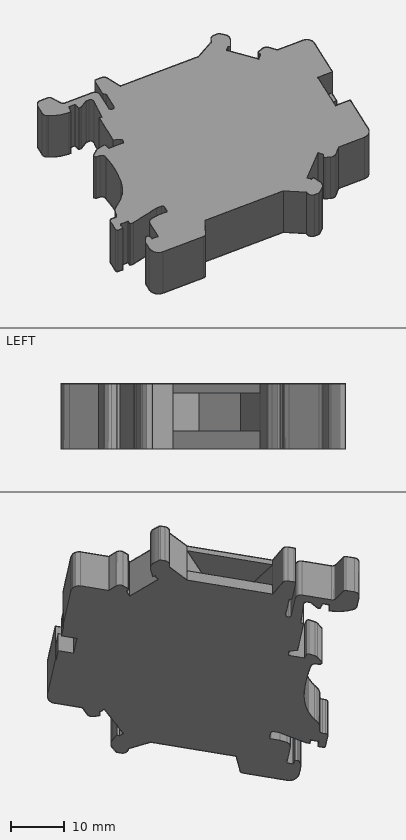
import cadquery as cq
import math

WIDTH = 42.55
HEIGHT = 52.7
THICKNESS = 12.1

HALF_WIDTH = WIDTH / 2
HEAD_HALF_WIDTH = 12.95
BODY_HALF_WIDTH = 17.9
BODY_TOP = 32.0
BODY_BOTTOM = 15.85

NOTCH_HALF_WIDTH = 3.75
NOTCH_DEPTH = 3.05
LEDGE_GAP_HALF_WIDTH = 1.65
LEDGE_TOP = THICKNESS / 2
LEDGE_SETBACK = 0.15

POCKET_FLOOR = 3.3
POCKET_CEILING = 10.45
POCKET_DEPTH = 5.7
POCKET_INNER_TOP = 27.15
POCKET_INNER_BOTTOM = 19.45

SLOT_END = 10.55
CLIP_NECK = 18.75
CLIP_TOE = 16.5
CLIP_TOP = 11.6
LATCH_STEM = 12.95

HEAD_AND_HORN = [
    (HEAD_HALF_WIDTH, HEIGHT, 1.6),
    (HEAD_HALF_WIDTH, 45.8),
    (14.75, 44.15, 1.2),
    (13.95, 42.15, 0.25),
    (13.4, 42.55),
    (12.5, 41.8),
    (17.0, 37.3),
    (17.65, 37.95),
    (17.5, 38.4),
    (19.75, 39.45, 1.35),
    (HALF_WIDTH, 37.8, 0.4),
    (HALF_WIDTH, 35.7, 1.1),
    (20.1, 35.75),
    (BODY_HALF_WIDTH, BODY_TOP),
]

FIXED_HOOK = [
    (BODY_HALF_WIDTH, BODY_BOTTOM),
    (HALF_WIDTH, 14.4, 0.75),
    (HALF_WIDTH, 3.65, 1.95),
    (17.3, 3.65, 2.0),
    (16.6, 4.45, 0.15),
    (16.7, 4.95),
    (17.55, 5.15),
    (17.55, 6.4),
    (13.35, 6.4, 1.0),
    (LATCH_STEM, 8.55),
]

LATCH_LEG = [
    (LATCH_STEM, SLOT_END, 0.3),
    (11.35, SLOT_END, 0.5),
    (11.35, 9.05),
    (12.6, 3.7),
    (12.6, 2.95),
    (11.85, 2.95),
    (11.85, 1.35),
    (LATCH_STEM, 1.35),
    (LATCH_STEM, 0, 0.35),
    (9.95, 0, 0.55),
    (9.95, 1.7, 0.6),
    (8.3, 1.8, 2.1),
]

ARCH_AND_POINT = [
    (5.55, 5.5, 7.4),
    (-0.5, 6.5, 18.95),
    (-4.55, 5.85, 0.85),
    (-4.6, 4.4, 0.25),
    (-5.0, 3.95, 0.15),
    (-6.2, 5.3, 1.05),
    (-6.55, 7.15, 0.4),
    (-5.45, 7.45),
    (-5.45, SLOT_END, 0.3),
    (-6.3, SLOT_END, 0.3),
    (-6.85, 9.0),
]

SPRING_CLIP = [
    (-12.75, 9.0),
    (-12.75, 9.55),
    (-17.45, 9.9, 0.65),
    (-17.45, 8.6, 0.2),
    (-CLIP_TOE, 7.1, 0.2),
    (-CLIP_TOE, 6.65),
    (-17.6, 6.4),
    (-17.6, 5.15),
    (-16.35, 4.9),
    (-16.4, 2.6, 8.45),
    (-17.75, 0, 1.0),
    (-HALF_WIDTH, 0, 1.05),
    (-HALF_WIDTH, 2.95, 0.55),
    (-CLIP_NECK, 4.45, 0.8),
    (-CLIP_NECK, CLIP_TOP, 1.1),
]

SPRING_SLOT_AND_SHOULDER = [
    (-13.6, CLIP_TOP, 0.5),
    (-13.6, 12.65, 0.5),
    (-17.25, 12.65, 0.2),
    (-17.65, 12.1, 0.2),
    (-HALF_WIDTH, 12.1, 0.35),
    (-HALF_WIDTH, 14.3, 1.05),
    (-BODY_HALF_WIDTH, BODY_BOTTOM),
]


def mirrored(corners):
    """Corners mirrored to the -X side, in the order that keeps going round the outline."""
    return [(-corner[0], *corner[1:]) for corner in reversed(corners)]


def rounded_prism(corners, height):
    """Extrude a closed outline, with an arc tangent to both sides at each rounded corner."""
    path = cq.Workplane("XY")
    for i, corner in enumerate(corners):
        point = cq.Vector(*corner[:2])
        if len(corner) == 2:
            path = path.moveTo(point.x, point.y) if i == 0 else path.lineTo(point.x, point.y)
            continue
        radius = corner[2]
        to_previous = (cq.Vector(*corners[i - 1][:2]) - point).normalized()
        to_next = (cq.Vector(*corners[(i + 1) % len(corners)][:2]) - point).normalized()
        half_angle = to_previous.getAngle(to_next) / 2
        tangent_length = radius / math.tan(half_angle)
        arc_distance = radius / math.sin(half_angle) - radius
        start = point + to_previous * tangent_length
        middle = point + (to_previous + to_next).normalized() * arc_distance
        end = point + to_next * tangent_length
        path = path.moveTo(start.x, start.y) if i == 0 else path.lineTo(start.x, start.y)
        path = path.threePointArc((middle.x, middle.y), (end.x, end.y))
    return path.close().extrude(height)


def housing():
    outline = (
        HEAD_AND_HORN
        + FIXED_HOOK
        + LATCH_LEG
        + ARCH_AND_POINT
        + SPRING_CLIP
        + SPRING_SLOT_AND_SHOULDER
        + mirrored(HEAD_AND_HORN)
    )
    return rounded_prism(outline, THICKNESS)


def marker_notch():
    """Material to remove from the head, leaving the two ledges."""
    notch_bottom = HEIGHT - NOTCH_DEPTH
    notch = cq.Workplane("XY").box(
        2 * NOTCH_HALF_WIDTH, NOTCH_DEPTH, THICKNESS, centered=(True, False, False)
    )
    ledge_width = NOTCH_HALF_WIDTH - LEDGE_GAP_HALF_WIDTH
    ledge_middle = (NOTCH_HALF_WIDTH + LEDGE_GAP_HALF_WIDTH) / 2
    for side in (-1, 1):
        ledge = cq.Workplane("XY").box(
            ledge_width, NOTCH_DEPTH - LEDGE_SETBACK, LEDGE_TOP, centered=(True, False, False)
        )
        notch = notch.cut(ledge.translate((side * ledge_middle, 0, 0)))
    return notch.translate((0, notch_bottom, 0))


def wire_pocket():
    """Pocket with slanted end walls, narrowing towards its inner wall."""
    inner_wall = -BODY_HALF_WIDTH + POCKET_DEPTH
    return (
        cq.Workplane("XY", origin=(0, 0, POCKET_FLOOR))
        .moveTo(-BODY_HALF_WIDTH, BODY_TOP)
        .lineTo(inner_wall, POCKET_INNER_TOP)
        .lineTo(inner_wall, POCKET_INNER_BOTTOM)
        .lineTo(-BODY_HALF_WIDTH, BODY_BOTTOM)
        .close()
        .extrude(POCKET_CEILING - POCKET_FLOOR)
    )


result = housing().cut(marker_notch()).cut(wire_pocket())